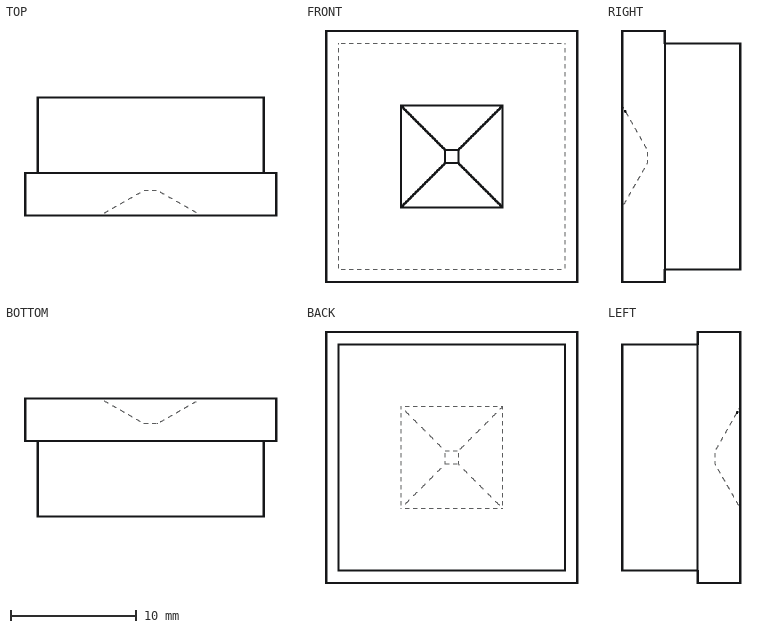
import cadquery as cq

flange_side = 20.0
flange_thickness = 3.4
body_side = 18.0
body_depth = 6.0

pocket_mouth_side = 8.1
pocket_floor_side = 1.05
pocket_depth = 2.0

front_y = -(flange_thickness + body_depth) / 2


def plane_behind_front(distance):
    """XZ plane at a distance behind the front face; its normal points to -Y."""
    return cq.Workplane("XZ", origin=(0, front_y + distance, 0))


def square_block(start, depth, side):
    """Square block starting behind the front face and running toward +Y."""
    return plane_behind_front(start).rect(side, side).extrude(-depth)


def tapered_pocket():
    """Four-sided frustum narrowing from the front face to the pocket floor."""
    return (
        plane_behind_front(0)
        .rect(pocket_mouth_side, pocket_mouth_side)
        .workplane(offset=-pocket_depth)
        .rect(pocket_floor_side, pocket_floor_side)
        .loft(ruled=True)
    )


flange = square_block(0, flange_thickness, flange_side)
body = square_block(flange_thickness, body_depth, body_side)
result = flange.union(body).cut(tapered_pocket())